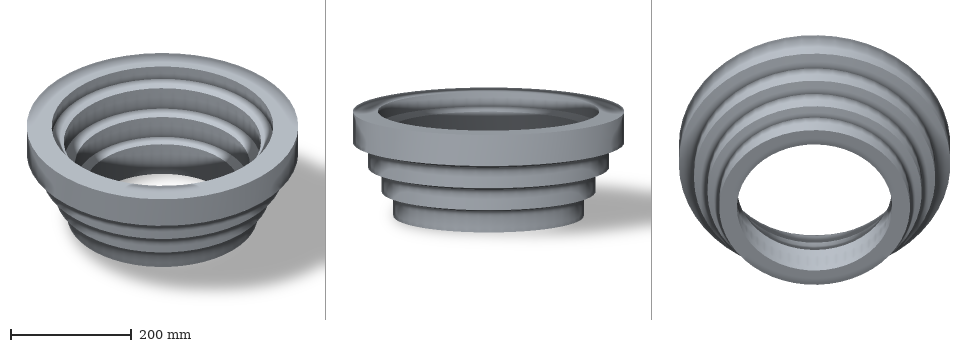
import cadquery as cq
import math

height = 176.0
ledge_slope = math.tan(math.radians(15))

outer_steps = [(225.0, 52.0), (200.0, 94.0), (177.5, 135.0), (158.0, height)]
inner_steps = [(183.5, 24.5), (163.5, 69.8), (145.0, 113.5), (128.5, height)]


def stepped_wall(steps):
    """Points (radius, z) down a wall of upright steps joined by sloping ledges."""
    points = [(steps[0][0], height)]
    for (radius, depth), (next_radius, _) in zip(steps, steps[1:]):
        ledge_drop = (radius - next_radius) * ledge_slope
        points.append((radius, height - depth))
        points.append((next_radius, height - depth - ledge_drop))
    last_radius, last_depth = steps[-1]
    points.append((last_radius, height - last_depth))
    return points


section = stepped_wall(outer_steps) + stepped_wall(inner_steps)[::-1]

result = cq.Workplane("XZ").polyline(section).close().revolve(360, (0, 0, 0), (0, 1, 0))